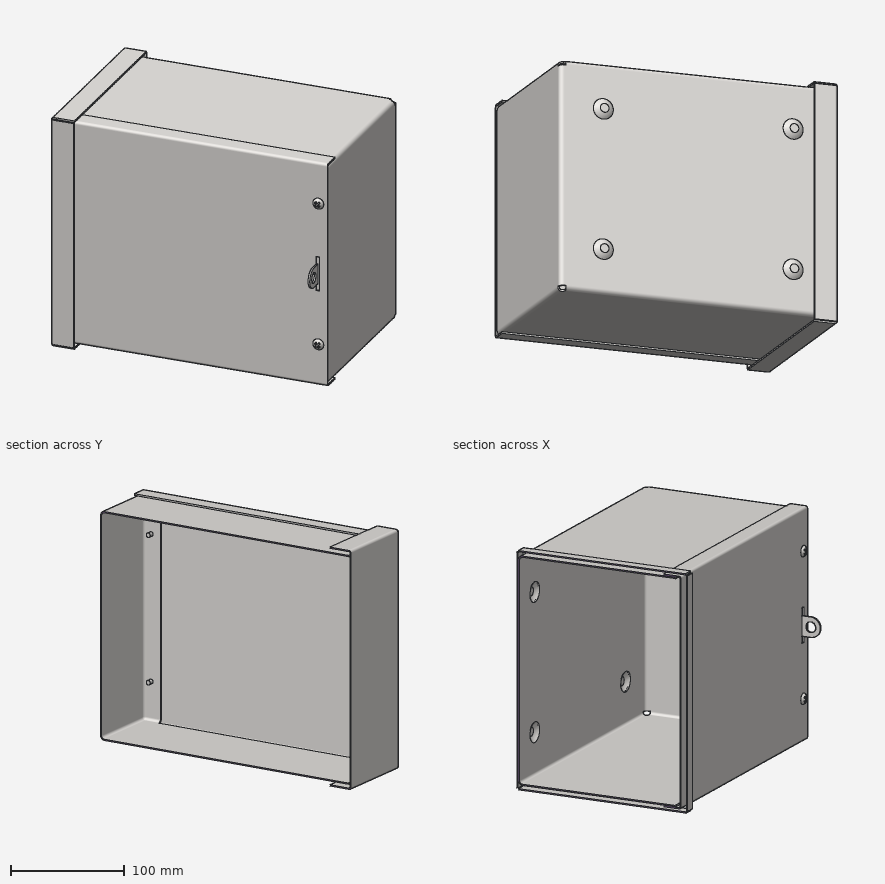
import cadquery as cq
import math


sheet = 1.5
hood_bend = 2.5
hood_notch = 1.8
box_bend = 4.2

total_length = 260.4
hood_height = 219.0
hood_depth = 167.7
hood_reach = 22.0
hood_front = -6.2
hood_back = hood_front + hood_depth

cover_height = 213.0
cover_flange = 17.2

box_start = hood_bend
box_front = sheet
box_back = hood_back - sheet
box_height = cover_height - 2 * sheet
front_lip = 18.2
relief_diameter = 8.0

dome_height = 3.5
dome_diameter = 18.7
dome_flat = 8.0
dome_places_x = (41.7, 219.7)
dome_place_z = 64.0

tab_start = 249.5
tab_height = 18.7
tab_place_z = -0.5
tab_tip = -17.7
tab_hole = 9.6
slot_width = 3.5
slot_height = 32.3

screw_place_x = 251.8
screw_place_z = 67.5
head_diameter = 10.5
head_height = 3.5
shank_diameter = 4.2
shank_length = 7.8
recess_span = 5.7
recess_width = 1.5
recess_depth = 1.5


def block(x_range, y_range, z_range):
    """Rectangular block between the given limits."""
    (x0, x1), (y0, y1), (z0, z1) = x_range, y_range, z_range
    return cq.Workplane("XY").box(x1 - x0, y1 - y0, z1 - z0, centered=False).translate((x0, y0, z0))


def front_cylinder(diameter, x, z, y_start, y_end):
    """Cylinder along Y between two places, the front one first."""
    return (
        cq.Workplane("XZ", origin=(x, y_start, z))
        .circle(diameter / 2)
        .extrude(y_start - y_end)
    )


def make_hood():
    """Shallow cap with bent flanges on four sides and open square notches at its corners."""
    half_height = hood_height / 2
    outer = block((0, hood_reach), (hood_front, hood_back), (-half_height, half_height))
    outer = outer.faces("<X").edges().fillet(hood_bend)
    inner = block(
        (sheet, hood_reach),
        (hood_front + sheet, hood_back - sheet),
        (-half_height + sheet, half_height - sheet),
    )
    inner = inner.faces("<X").edges().fillet(hood_bend - sheet)
    hood = outer.cut(inner)
    for y in (hood_front, hood_back - hood_notch):
        for z in (-half_height, half_height - hood_notch):
            hood = hood.cut(block((0, hood_reach), (y, y + hood_notch), (z, z + hood_notch)))
    return hood


def domed_disc(diameter, height, flat_diameter=0):
    """Spherical dome on Y = 0 that rises toward +Y, cut off at a flat top if one is given."""
    rim = diameter / 2
    flat = flat_diameter / 2
    centre_y = (flat**2 + height**2 - rim**2) / (2 * height)
    sphere_radius = math.hypot(rim, centre_y)
    middle = (rim + flat) / 2
    middle_y = centre_y + math.sqrt(sphere_radius**2 - middle**2)
    profile = cq.Workplane("XY").moveTo(rim, 0).threePointArc((middle, middle_y), (flat, height))
    if flat > 0:
        profile = profile.lineTo(0, height)
    return profile.lineTo(0, 0).close().revolve(360, (0, 0, 0), (0, 1, 0))


def round_end_block(x_range, y_range, z_range, radius):
    """Block with every edge rounded but those of its -X end."""
    body = block(x_range, y_range, z_range)
    return body.edges("|X or >X").fillet(radius)


def make_tab():
    """Padlock tab with a round tip, standing forward from the lip of the box."""
    tip_radius = tab_height / 2
    tip_centre = tab_tip + tip_radius
    root = box_front + sheet
    return (
        cq.Workplane("YZ", origin=(tab_start, 0, tab_place_z))
        .moveTo(root, -tip_radius)
        .lineTo(tip_centre, -tip_radius)
        .threePointArc((tab_tip, 0), (tip_centre, tip_radius))
        .lineTo(root, tip_radius)
        .close()
        .moveTo(tip_centre, 0)
        .circle(tab_hole / 2)
        .extrude(sheet)
    )


def make_box():
    """Sheet metal tray, open toward the hood and the cover, with a lip that carries the tab."""
    half_height = box_height / 2
    outer = round_end_block(
        (box_start, total_length), (box_front, box_back), (-half_height, half_height), box_bend
    )
    inner = round_end_block(
        (box_start, total_length - sheet),
        (box_front + sheet, box_back - sheet),
        (-half_height + sheet, half_height - sheet),
        box_bend - sheet,
    )
    opening = block(
        (box_start, total_length - front_lip),
        (box_front, box_front + box_bend),
        (-half_height, half_height),
    )
    box = outer.cut(inner).cut(opening)

    relief_x = total_length - box_bend / 2
    relief_y = box_back - box_bend / 2
    for z in (-half_height, half_height - box_bend):
        relief = cq.Workplane("XY", origin=(relief_x, relief_y, z)).circle(relief_diameter / 2)
        box = box.cut(relief.extrude(box_bend))

    dome = domed_disc(dome_diameter, dome_height, dome_flat)
    for x in dome_places_x:
        for z in (-dome_place_z, dome_place_z):
            box = box.union(dome.translate((x, box_back, z)))
            box = box.cut(dome.translate((x, box_back - sheet, z)))

    box = box.union(make_tab())
    for z in (-screw_place_z, screw_place_z):
        box = box.cut(front_cylinder(shank_diameter, screw_place_x, z, 0, shank_length))
    return box


def make_cover():
    """Front panel with a bent flange along its top and bottom, a tab slot and screw holes."""
    half_height = cover_height / 2
    outer = block((box_start, total_length), (0, cover_flange), (-half_height, half_height))
    outer = outer.faces("<Y").edges("|X").fillet(hood_bend)
    inner = block(
        (box_start, total_length), (sheet, cover_flange), (-half_height + sheet, half_height - sheet)
    )
    inner = inner.faces("<Y").edges("|X").fillet(hood_bend - sheet)
    slot = block(
        (tab_start, tab_start + slot_width), (0, sheet), (-slot_height / 2, slot_height / 2)
    )
    cover = outer.cut(inner).cut(slot)
    for z in (-screw_place_z, screw_place_z):
        cover = cover.cut(front_cylinder(shank_diameter, screw_place_x, z, 0, sheet))
    return cover


def make_screw(z):
    """Round-head screw with a cross recess."""
    head = domed_disc(head_diameter, head_height).rotate((0, 0, 0), (0, 0, 1), 180)
    screw = head.union(front_cylinder(shank_diameter, 0, 0, 0, shank_length))
    for angle in (45, 135):
        bar = cq.Workplane("XY").box(recess_span, 2 * recess_depth, recess_width)
        screw = screw.cut(bar.rotate((0, 0, 0), (0, 1, 0), angle).translate((0, -head_height, 0)))
    return screw.translate((screw_place_x, 0, z))


hood = make_hood()
box = make_box()
cover = make_cover()
screws = [make_screw(z) for z in (-screw_place_z, screw_place_z)]

result = cq.Compound.makeCompound(
    [hood.val(), box.val(), cover.val(), *[screw.val() for screw in screws]]
)